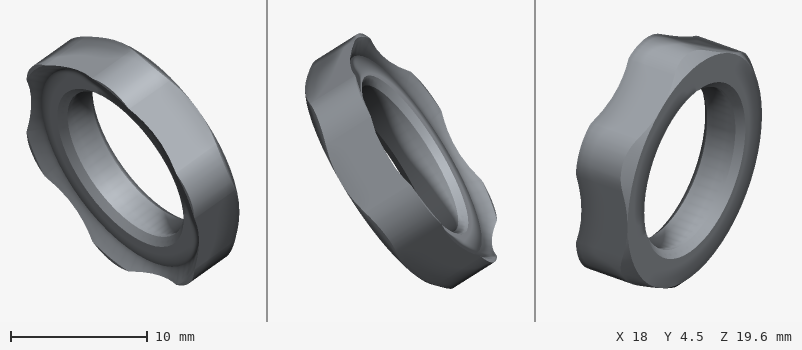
import cadquery as cq
import math

width_across_flats = 18.0
corner_to_corner = 19.55
thickness = 4.5
bore_diameter = 12.5
bore_chamfer = 0.53

dish_rim_diameter = 18.95
dish_floor_diameter = 16.95
dish_depth = (dish_rim_diameter - dish_floor_diameter) / 2

sharp_corners = width_across_flats / math.cos(math.pi / 6)
corner_radius = (sharp_corners - corner_to_corner) / 2 / (1 / math.cos(math.pi / 6) - 1)

front = -thickness / 2
back = thickness / 2
floor = front + dish_depth


def revolve_profile(points):
    """Revolve a (radius, y) outline about the Y axis."""
    return cq.Workplane("XY").polyline(points).close().revolve(360, (0, 0, 0), (0, 1, 0))


def hexagon_body():
    return (
        cq.Workplane("XZ", origin=(0, back, 0))
        .transformed(rotate=(0, 0, 90))
        .polygon(6, sharp_corners)
        .extrude(thickness)
        .edges("|Y")
        .fillet(corner_radius)
    )


def turned_envelope():
    """Ring with the bore, the dish, the bore chamfers and the 45 degree back chamfer."""
    bore_radius = bore_diameter / 2
    back_face_radius = width_across_flats / 2
    outer_radius = sharp_corners / 2
    back_chamfer = outer_radius - back_face_radius
    return revolve_profile([
        (bore_radius, floor + bore_chamfer),
        (bore_radius + bore_chamfer, floor),
        (dish_floor_diameter / 2, floor),
        (dish_rim_diameter / 2, front),
        (outer_radius, front),
        (outer_radius, back - back_chamfer),
        (back_face_radius, back),
        (bore_radius + bore_chamfer, back),
        (bore_radius, back - bore_chamfer),
    ])


result = hexagon_body().intersect(turned_envelope())